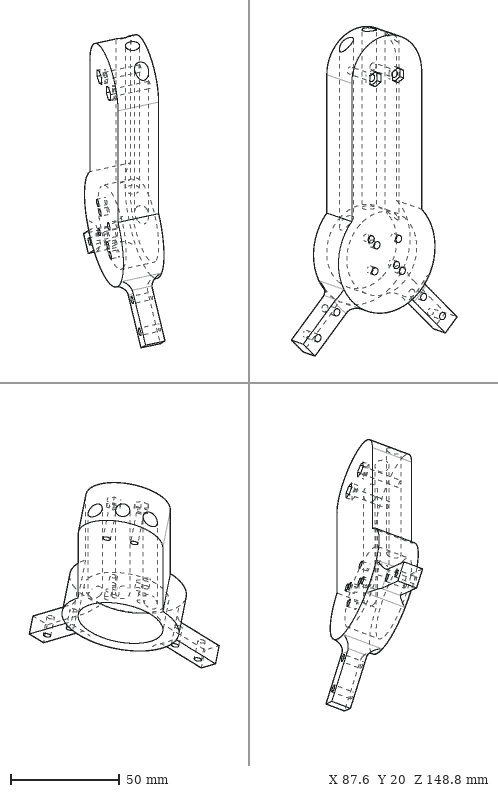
import cadquery as cq
import math

thickness = 20.0
half_thickness = thickness / 2
cap_radius = thickness
disc_radius = 27.5
total_height = 148.8
overall_width = 87.6

leg_width = 9.5
leg_depth = 9.5
leg_reach = overall_width / math.sqrt(2) - leg_width / 2
leg_angle = 45
leg_fillet = 4.9
tolerance = 0.01
leg_hole_distances = (35.0, 50.1)

leg_bottom = -overall_width / 2
cap_z = total_height + leg_bottom - cap_radius

screw_diameter = 3.4
motor_holes = [
    (7.9, 135), (7.9, 315),
    (12.5, 135), (12.5, 315),
    (9.5, 45), (9.5, 225),
]

nut_spacing = 13.0
nut_flats = 6.3
nut_depth = 3.0

bore_diameter = 6.5
bore_spacing = 13.0
bore_y = 4.0

pocket_radius = 20.0
pocket_floor_thickness = 4.0


def cylinder_along_y(x, z, diameter, y_start, y_end):
    """Cylinder between two Y positions, its axis through (x, z)."""
    return (
        cq.Workplane("XZ", origin=(x, y_start, z))
        .circle(diameter / 2)
        .extrude(y_start - y_end)
    )


def through_hole(x, z):
    return cylinder_along_y(x, z, screw_diameter, -half_thickness, half_thickness)


def on_circle(distance, degrees):
    angle = math.radians(degrees)
    return distance * math.cos(angle), distance * math.sin(angle)


def make_leg(direction):
    """Leg from the disc centre outwards, in the given direction in the XZ plane."""
    return (
        cq.Workplane("XY")
        .box(leg_reach, leg_depth, leg_width, centered=(False, True, True))
        .rotate((0, 0, 0), (0, 1, 0), -direction)
    )


disc = cylinder_along_y(0, 0, 2 * disc_radius, -half_thickness, half_thickness)
bar = (
    cq.Workplane("XY")
    .box(2 * cap_radius, thickness, cap_z, centered=(True, True, False))
)
cap = cylinder_along_y(0, cap_z, 2 * cap_radius, -half_thickness, half_thickness)
result = disc.union(bar).union(cap)

leg_directions = (-leg_angle, leg_angle - 180)
for direction in leg_directions:
    result = result.union(make_leg(direction))
root_zone = cq.selectors.BoxSelector(
    (-disc_radius, -leg_depth, -disc_radius),
    (disc_radius, leg_depth, 0),
)
root_edges = [
    edge for edge in result.edges(root_zone).vals()
    if abs(edge.Center().y) <= leg_depth / 2 + tolerance
]
result = result.newObject(root_edges).fillet(leg_fillet)

for direction in leg_directions:
    for distance in leg_hole_distances:
        result = result.cut(through_hole(*on_circle(distance, direction)))

pocket_floor_y = pocket_floor_thickness - half_thickness
result = result.cut(cylinder_along_y(0, 0, 2 * pocket_radius, pocket_floor_y, half_thickness))
for distance, direction in motor_holes:
    result = result.cut(through_hole(*on_circle(distance, direction)))

for side in (-1, 1):
    nut_x = side * nut_spacing / 2
    nut_recess = (
        cq.Workplane("XZ", origin=(nut_x, -half_thickness, cap_z))
        .transformed(rotate=(0, 0, 90))
        .polygon(6, nut_flats / math.cos(math.pi / 6))
        .extrude(-nut_depth)
    )
    result = result.cut(through_hole(nut_x, cap_z)).cut(nut_recess)

for step in (-1, 0, 1):
    wire_bore = (
        cq.Workplane("XY", origin=(step * bore_spacing, bore_y, 0))
        .circle(bore_diameter / 2)
        .extrude(cap_z + cap_radius)
    )
    result = result.cut(wire_bore)